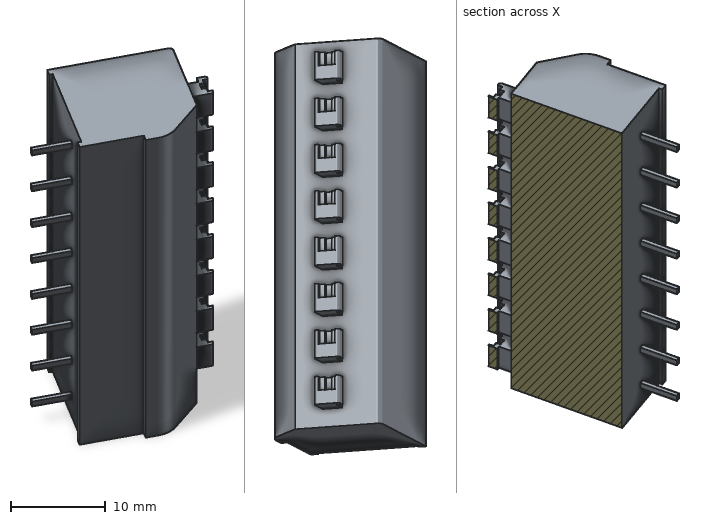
import cadquery as cq
import math


pole_count = 8
pole_pitch = 5.0
housing_length = 41.5
first_pin_z = 2.9
first_lever_z = 3.45

housing_width = 13.75
housing_height = 13.75
base_width = 13.0
lip_underside_y = 7.05
slope_run = 4.05
slope_blend_radius = 3.0
corner_radius = 0.5
foot_width = 0.8
foot_height = 0.4
slope_angle = 45.0

lever_left_x = 3.7
lever_head_width = 2.85
lever_hook_overhang = 0.65
lever_rise = 2.75
lever_hook_clearance = 1.65
lever_thickness = 3.0
lever_edge_radius = 0.3

slot_bar_width = 1.9
slot_bar_depth = 0.55
slot_stem_width = 0.8
slot_total_depth = 1.07
slot_length = lever_thickness / 2

pin_center_x = 8.3
pin_width = 0.5
pin_thickness = 0.7
pin_reach = 4.0


def make_housing():
    """Constant profile with two feet, an overhanging lip and a blended 45 degree slope."""
    shoulder_y = housing_height - slope_run * math.tan(math.radians(slope_angle))
    blend_setback = slope_blend_radius * math.tan(math.radians(slope_angle / 2))
    setback_x = blend_setback * math.cos(math.radians(slope_angle))
    setback_y = blend_setback * math.sin(math.radians(slope_angle))
    return (
        cq.Workplane("XY")
        .moveTo(0, 0)
        .lineTo(foot_width, 0)
        .lineTo(foot_width, foot_height)
        .lineTo(base_width - foot_width, foot_height)
        .lineTo(base_width - foot_width, 0)
        .lineTo(base_width, 0)
        .lineTo(base_width, lip_underside_y)
        .lineTo(housing_width, lip_underside_y)
        .lineTo(housing_width, shoulder_y - blend_setback)
        .radiusArc(
            (housing_width - setback_x, shoulder_y + setback_y),
            -slope_blend_radius,
        )
        .lineTo(housing_width - slope_run, housing_height)
        .lineTo(corner_radius, housing_height)
        .radiusArc((0, housing_height - corner_radius), -corner_radius)
        .close()
        .extrude(housing_length)
    )


def make_lever(center_z):
    """Hooked lever with rounded outer edges and a T-shaped pocket in its upper end."""
    right_x = lever_left_x + lever_head_width
    center_x = lever_left_x + lever_head_width / 2
    neck_x = lever_left_x + lever_hook_overhang
    top_y = housing_height + lever_rise
    hook_y = housing_height + lever_hook_clearance
    bottom_z = center_z - lever_thickness / 2
    top_z = center_z + lever_thickness / 2

    lever = (
        cq.Workplane("XY", origin=(0, 0, bottom_z))
        .moveTo(neck_x, housing_height)
        .lineTo(right_x, housing_height)
        .lineTo(right_x, top_y - lever_edge_radius)
        .radiusArc((right_x - lever_edge_radius, top_y), -lever_edge_radius)
        .lineTo(lever_left_x + lever_edge_radius, top_y)
        .radiusArc((lever_left_x, top_y - lever_edge_radius), -lever_edge_radius)
        .lineTo(lever_left_x, hook_y)
        .lineTo(neck_x, hook_y)
        .close()
        .extrude(lever_thickness)
    )
    slot_plane = cq.Workplane("XY", origin=(center_x, top_y, top_z))
    for width, depth in ((slot_bar_width, slot_bar_depth), (slot_stem_width, slot_total_depth)):
        pocket = slot_plane.center(0, -depth / 2).rect(width, depth).extrude(-slot_length)
        lever = lever.cut(pocket)
    return lever


def make_pin(center_z):
    """Rectangular solder pin running from the housing underside toward -Y."""
    pin_length = pin_reach + foot_height
    return (
        cq.Workplane("XY")
        .box(pin_width, pin_length, pin_thickness, centered=(True, False, True))
        .translate((pin_center_x, -pin_reach, center_z))
    )


result = make_housing()
for pole in range(pole_count):
    pole_offset = pole * pole_pitch
    result = result.union(make_lever(first_lever_z + pole_offset))
    result = result.union(make_pin(first_pin_z + pole_offset))